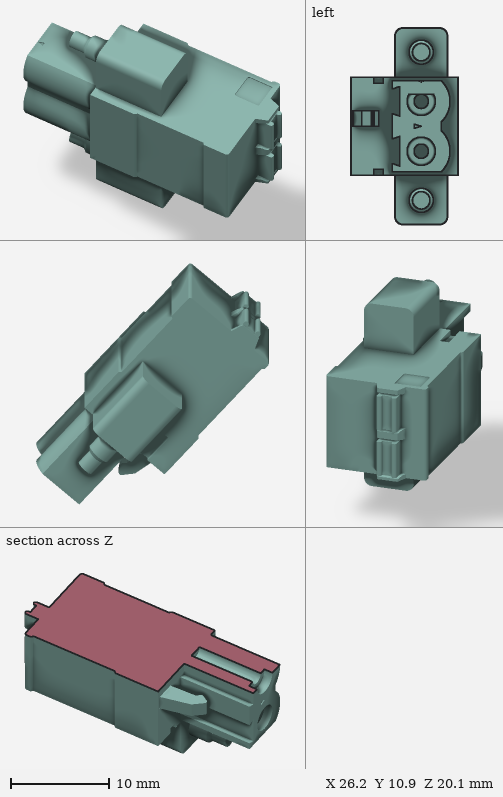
import cadquery as cq
import math


total_length = 26.2
housing_front = 8.33
housing_rear = 24.5
rib_rear = 25.75

housing_top = 7.15
housing_bottom = -3.75
housing_width = 10.0
pole_pitch = housing_width / 2
waist_depth = 0.24
waist_front = 13.75
lower_waist_rear = 21.5
lower_step_run = 0.15
upper_waist_rear = 23.48
rear_corner_radius = 0.31

contact_pitch = 5.08
plug_width = 9.22
plug_top = 2.93
plug_round_radius = 2.93
plug_web_y = -2.02
key_slot_depth = 0.73
key_slot_mouth = 2.52
key_slot_floor = 3.0
contact_bore_radius = 1.45
contact_bore_depth = 0.97
contact_hole_radius = 0.73
flat_height = 0.7

flange_front = 8.4
flange_rear = 16.05
flange_height = 5.37
flange_width = 20.05
flange_radius = 0.85
pin_offset = 7.55
pin_radius = 1.23
pin_tip_radius = 0.9
pin_cone_rear = 6.3
pin_cone_front = 5.9
pin_front = 4.22

latch_width = 1.6
latch_root_top = 6.95
latch_knee_x = 4.85
latch_knee_y = 5.95
latch_knee_break = 0.13
latch_nose_x = 3.88
latch_nose_top = 5.1
latch_nose_bottom = 4.95
latch_nose_break = 0.08
hook_x = 4.93
hook_y = 4.32
hook_land = 0.2
hook_height = 0.4
latch_pocket_top = 7.05
latch_pocket_depth = 0.42

groove_rear = 11.55
groove_low = 3.85
groove_high = 4.85
groove_depth = 0.63

rib_bottom = 2.35
rib_top = 4.5
rib_taper = 0.5
rib_edge_break = 0.1
lever_slot_width = 3.9
lever_slot_offset = 2.4
lever_width = 3.72
lever_bar = 0.52
slot_flare = 0.17
slot_flare_start = 25.1
slot_flare_end = 25.6

label_size = 2.85
label_x = 22.5
label_y = 4.95
label_radius = 0.24
mark_depth = 0.1
mark_length = 0.73
mark_width = 0.45


def box(x_range, y_range, z_range):
    """Make a box from its (low, high) range along each axis."""
    size = [high - low for low, high in (x_range, y_range, z_range)]
    corner = (x_range[0], y_range[0], z_range[0])
    return cq.Workplane("XY").box(*size, centered=False).translate(corner)


def plate(points, z_low, z_high):
    """Extrude an XY outline between two heights."""
    return cq.Workplane("XY").workplane(offset=z_low).polyline(points).close().extrude(z_high - z_low)


def x_cylinder(radius, x_start, x_end, z):
    """Make a cylinder along X, centred on Y = 0 at the given Z."""
    return cq.Workplane("YZ", origin=(x_start, 0, z)).circle(radius).extrude(x_end - x_start)


def make_housing():
    """Housing block with a shallow waist along its upper and lower faces."""
    waist_top = housing_top - waist_depth
    waist_bottom = housing_bottom + waist_depth
    outline = [
        (housing_front, housing_bottom),
        (waist_front - waist_depth, housing_bottom),
        (waist_front, waist_bottom),
        (lower_waist_rear, waist_bottom),
        (lower_waist_rear + lower_step_run, housing_bottom),
        (housing_rear, housing_bottom),
        (housing_rear, housing_top),
        (upper_waist_rear + waist_depth, housing_top),
        (upper_waist_rear, waist_top),
        (waist_front, waist_top),
        (waist_front - waist_depth, housing_top),
        (housing_front, housing_top),
    ]
    body = plate(outline, -housing_width / 2, housing_width / 2)
    body = body.edges("|Z and >X").fillet(rear_corner_radius)
    for side in (1, -1):
        z_range = sorted((side * housing_width / 2, side * (housing_width / 2 - groove_depth)))
        body = body.cut(box((housing_front, groove_rear), (groove_low, groove_high), z_range))
    label = (
        cq.Workplane("XY", origin=(label_x, label_y, housing_width / 2 - mark_depth))
        .rect(label_size, label_size)
        .extrude(mark_depth)
        .edges("|Z and <X")
        .fillet(label_radius)
    )
    return body.cut(label)


def make_plug():
    """Make the plug nose: two rounded contact towers joined by a web, keyed along the top."""
    contact_z = contact_pitch / 2
    half_width = plug_width / 2
    edge_y = -math.sqrt(plug_round_radius**2 - (half_width - contact_z) ** 2)
    web_z = contact_z - math.sqrt(plug_round_radius**2 - plug_web_y**2)
    nose = (
        cq.Workplane("YZ")
        .moveTo(plug_top, -half_width)
        .lineTo(edge_y, -half_width)
        .threePointArc((-plug_round_radius, -contact_z), (plug_web_y, -web_z))
        .lineTo(plug_web_y, web_z)
        .threePointArc((-plug_round_radius, contact_z), (edge_y, half_width))
        .lineTo(plug_top, half_width)
        .close()
        .extrude(housing_front)
    )
    slot_floor_y = plug_top - key_slot_depth
    for z in (-contact_z, contact_z):
        key_slot = [
            (plug_top, z - key_slot_mouth / 2),
            (slot_floor_y, z - key_slot_floor / 2),
            (slot_floor_y, z + key_slot_floor / 2),
            (plug_top, z + key_slot_mouth / 2),
        ]
        nose = nose.cut(cq.Workplane("YZ").polyline(key_slot).close().extrude(housing_front))
        bore = x_cylinder(contact_bore_radius, 0, contact_bore_depth, z)
        if z > 0:
            bore = bore.intersect(
                box(
                    (0, contact_bore_depth),
                    (-contact_bore_radius, contact_bore_radius),
                    (z - contact_bore_radius, z + flat_height),
                )
            )
        nose = nose.cut(bore).cut(x_cylinder(contact_hole_radius, 0, housing_front, z))
    mark = [(0, 0), (mark_length, -mark_width / 2), (mark_length, mark_width / 2)]
    nose = nose.cut(plate(mark, half_width - mark_depth, half_width))
    return nose.cut(cq.Workplane("YZ").polyline(mark).close().extrude(mark_depth))


def make_flanges():
    """Make one rounded bar that stands out on both sides of the housing as the screw flanges."""
    return (
        cq.Workplane("YZ", origin=(flange_front, 0, 0))
        .rect(flange_height, flange_width)
        .extrude(flange_rear - flange_front)
        .edges("|X")
        .fillet(flange_radius)
    )


def make_pin(z):
    """Stepped pin turned about an axis along X."""
    profile = [
        (pin_front, 0),
        (pin_front, pin_tip_radius),
        (pin_cone_front, pin_tip_radius),
        (pin_cone_rear, pin_radius),
        (flange_front, pin_radius),
        (flange_front, 0),
    ]
    pin = cq.Workplane("XY").polyline(profile).close().revolve(360, (0, 0, 0), (1, 0, 0))
    return pin.translate((0, 0, z))


def make_latch():
    """Hooked latch arm whose root is sunk in a shallow pocket."""
    root_x = housing_front + latch_pocket_depth
    outline = [
        (root_x, latch_root_top),
        (latch_knee_x + latch_knee_break, latch_knee_y + latch_knee_break),
        (latch_knee_x, latch_knee_y),
        (latch_nose_x, latch_nose_top),
        (latch_nose_x, latch_nose_bottom),
        (latch_nose_x + latch_nose_break, latch_nose_bottom - 2 * latch_nose_break),
        (hook_x - hook_land, hook_y),
        (hook_x, hook_y),
        (hook_x + hook_height, hook_y + hook_height),
        (root_x, groove_high),
    ]
    return plate(outline, 0, latch_width)


def make_latch_pocket():
    """Make the cutter for the shallow pocket around the latch root."""
    x_range = (housing_front, housing_front + latch_pocket_depth)
    return box(x_range, (groove_high, latch_pocket_top), (0, latch_width))


def make_rear_rib():
    """Tapered rear ridge, divided by one flared slot per pole."""
    outline = [
        (housing_rear, rib_bottom - rib_taper),
        (slot_flare_end, rib_bottom - rib_edge_break),
        (rib_rear, rib_bottom),
        (rib_rear, rib_top),
        (housing_rear, rib_top + rib_taper),
    ]
    ridge = plate(outline, -housing_width / 2, housing_width / 2)
    for pole in (0, 1):
        z = lever_slot_offset - pole * pole_pitch
        narrow = lever_slot_width / 2
        wide = narrow + slot_flare
        slot = [
            (housing_rear, z - narrow),
            (slot_flare_start, z - narrow),
            (slot_flare_end, z - wide),
            (rib_rear, z - wide),
            (rib_rear, z + wide),
            (slot_flare_end, z + wide),
            (slot_flare_start, z + narrow),
            (housing_rear, z + narrow),
        ]
        cutter = cq.Workplane("XZ", origin=(0, housing_top, 0)).polyline(slot).close().extrude(housing_top)
        ridge = ridge.cut(cutter)
    return ridge


def make_lever(pole):
    """Release lever with a rounded lip along its upper and lower edges."""
    z = lever_slot_offset - pole * pole_pitch
    z_low = z - lever_width / 2
    z_high = z + lever_width / 2
    lever = box((housing_rear, rib_rear), (rib_bottom, rib_top), (z_low, z_high))
    tip_x = total_length - lever_bar / 2
    for y in (rib_bottom + lever_bar / 2, rib_top - lever_bar / 2):
        bar = box((housing_rear, tip_x), (y - lever_bar / 2, y + lever_bar / 2), (z_low, z_high))
        tip = cq.Workplane("XY", origin=(tip_x, y, z_low)).circle(lever_bar / 2).extrude(lever_width)
        lever = lever.union(bar).union(tip)
    return lever


result = make_housing().cut(make_latch_pocket()).union(make_latch())
result = result.union(make_flanges()).union(make_plug()).union(make_rear_rib())
for pin_z in (-pin_offset, pin_offset):
    result = result.union(make_pin(pin_z))
for pole_index in (0, 1):
    result = result.union(make_lever(pole_index))